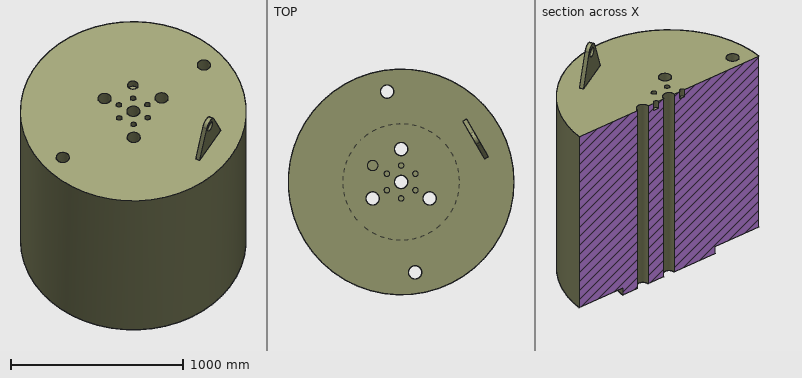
import cadquery as cq
import math

overall_height = 1515.0
drum_diameter = 1310.0
hub_diameter = 675.0
hub_height = 50.0
lug_height = 235.0
drum_top = overall_height - lug_height

through_diameter = 75.0
inner_ring_radius = 191.0
outer_hole_radius = 530.0
outer_hole_angle = 98.8
locating_diameter = 60.0
locating_angle = 150.0
bolt_diameter = 32.0
bolt_ring_radius = inner_ring_radius / 2
bolt_count = 6
blind_depth = 50.0

lug_angle = 30.0
lug_radius = 498.0
lug_width = 253.0
lug_thickness = 25.0
lug_tip_radius = 45.0
lug_hole_diameter = 58.0
lug_hole_drop = 55.0


def polar(radius, angle):
    """Plan position at a radius and an angle in degrees from +X."""
    return (radius * math.cos(math.radians(angle)), radius * math.sin(math.radians(angle)))


def make_body():
    hub = cq.Workplane("XY").circle(hub_diameter / 2).extrude(hub_height)
    drum = (
        cq.Workplane("XY")
        .workplane(offset=hub_height)
        .circle(drum_diameter / 2)
        .extrude(drum_top - hub_height)
    )
    return hub.union(drum)


def make_holes(points, diameter, depth):
    """Cutters running down from the drum top."""
    return (
        cq.Workplane("XY")
        .workplane(offset=drum_top)
        .pushPoints(points)
        .circle(diameter / 2)
        .extrude(-depth)
    )


def make_lug():
    """Plate with a round tip, sides tangent to it and an eye below the tip."""
    half_width = lug_width / 2
    tip_centre = lug_height - lug_tip_radius

    corner_distance = math.hypot(half_width, tip_centre)
    corner_angle = math.atan2(-tip_centre, half_width)
    tangent_angle = corner_angle + math.acos(lug_tip_radius / corner_distance)
    tangent_x = lug_tip_radius * math.cos(tangent_angle)
    tangent_z = tip_centre + lug_tip_radius * math.sin(tangent_angle)

    centre_x, centre_y = polar(lug_radius, lug_angle)
    radial_direction = (*polar(1.0, lug_angle), 0)
    tangential_direction = (*polar(1.0, lug_angle + 90), 0)
    lug_plane = cq.Plane(
        origin=(centre_x, centre_y, drum_top),
        xDir=tangential_direction,
        normal=radial_direction,
    )
    plate = (
        cq.Workplane(lug_plane)
        .moveTo(-half_width, 0)
        .lineTo(half_width, 0)
        .lineTo(tangent_x, tangent_z)
        .threePointArc((0, lug_height), (-tangent_x, tangent_z))
        .close()
        .extrude(lug_thickness / 2, both=True)
    )
    eye = (
        cq.Workplane(lug_plane)
        .center(0, lug_height - lug_hole_drop)
        .circle(lug_hole_diameter / 2)
        .extrude(lug_thickness, both=True)
    )
    return plate.cut(eye)


inner_points = [polar(inner_ring_radius, angle) for angle in (90, 210, 330)]
outer_points = [polar(outer_hole_radius, outer_hole_angle + turn) for turn in (0, 180)]
through_points = [(0, 0)] + inner_points + outer_points
locating_points = [polar(inner_ring_radius, locating_angle)]
bolt_points = [polar(bolt_ring_radius, 90 + i * 360 / bolt_count) for i in range(bolt_count)]

result = (
    make_body()
    .cut(make_holes(through_points, through_diameter, drum_top))
    .cut(make_holes(locating_points, locating_diameter, blind_depth))
    .cut(make_holes(bolt_points, bolt_diameter, blind_depth))
    .union(make_lug())
)